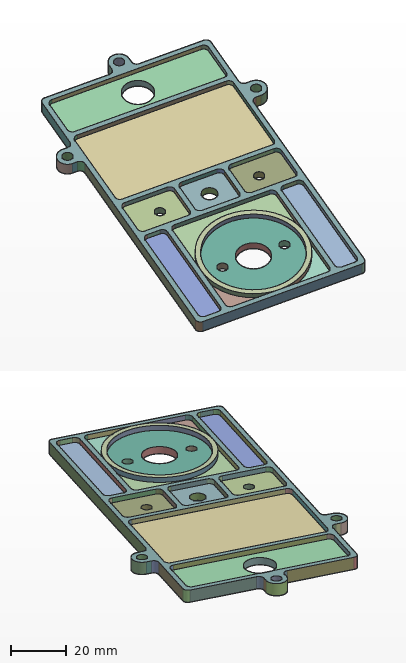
import cadquery as cq

plate_length = 126.0
plate_width = 68.0
plate_thickness = 5.0
corner_radius = 2.0

wall = 2.0
pocket_depth = 2.0
pocket_corner_radius = 2.0
left_pocket_length = 18.0
large_pocket_length = 36.0
small_pocket_length = 16.0
center_pocket_width = 18.0
ring_pocket_width = 42.0

ring_outer_diameter = 42.0
ring_inner_diameter = 38.0

left_hole_diameter = 12.0
ring_hole_diameter = 13.0
center_hole_diameter = 6.0
screw_hole_diameter = 4.0
pocket_screw_offset = 20.0
ring_screw_offset = 12.5

ear_radius = 4.0
ear_hole_diameter = 4.0
ear_reach = 4.0
ear_fillet_radius = 2.0
side_ear_x = 30.0

half_width = plate_width / 2
inner_half_width = half_width - wall
floor_z = plate_thickness - pocket_depth
left_pocket_x = wall
large_pocket_x = left_pocket_x + left_pocket_length + wall
small_pocket_x = large_pocket_x + large_pocket_length + wall
ring_pocket_x = small_pocket_x + small_pocket_length + wall
ring_pocket_end = plate_length - wall
left_hole_x = left_pocket_x + left_pocket_length / 2
small_hole_x = small_pocket_x + small_pocket_length / 2
ring_x = ring_pocket_end - ring_outer_diameter / 2

ears = [
    (-ear_reach, 0, 1, 0),
    (side_ear_x, half_width + ear_reach, 0, -1),
    (side_ear_x, -half_width - ear_reach, 0, 1),
]


def box_between(x_start, x_end, y_start, y_end, z_start, z_end):
    """Box spanning the given limits."""
    size = (x_end - x_start, y_end - y_start, z_end - z_start)
    return cq.Workplane("XY").box(*size, centered=False).translate((x_start, y_start, z_start))


def cylinder(x, y, diameter, z_start=0.0):
    """Upright cylinder from z_start to the top of the plate."""
    height = plate_thickness - z_start
    return cq.Workplane("XY", origin=(x, y, z_start)).circle(diameter / 2).extrude(height)


def make_ear(x, y, inward_x, inward_y):
    """Ear disc with a square neck that runs from its center into the plate."""
    neck_x = x + inward_x * ear_radius
    neck_y = y + inward_y * ear_radius
    neck = box_between(
        neck_x - ear_radius, neck_x + ear_radius,
        neck_y - ear_radius, neck_y + ear_radius,
        0, plate_thickness,
    )
    return neck.union(cylinder(x, y, 2 * ear_radius))


def make_plate():
    """Rounded plate with its three ears blended into the edges."""
    plate = box_between(0, plate_length, -half_width, half_width, 0, plate_thickness)
    plate = plate.edges("|Z").fillet(corner_radius)
    for ear in ears:
        plate = plate.union(make_ear(*ear))
    left_roots = [(0, side * ear_radius) for side in (-1, 1)]
    side_roots = [
        (side_ear_x + along * ear_radius, across * half_width)
        for along in (-1, 1)
        for across in (-1, 1)
    ]
    for x, y in left_roots + side_roots:
        root_edge = cq.selectors.NearestToPointSelector((x, y, plate_thickness / 2))
        plate = plate.edges("|Z").edges(root_edge).fillet(ear_fillet_radius)
    return plate


def make_pocket(x_start, x_end, y_start, y_end):
    """Volume of a rounded pocket open at the top of the plate."""
    pocket = box_between(x_start, x_end, y_start, y_end, floor_z, plate_thickness)
    return pocket.edges("|Z").fillet(pocket_corner_radius)


def mirrored_pockets(x_start, x_end, inner_y):
    """Pair of pockets between inner_y and the outer wall, on both sides of the long axis."""
    upper = make_pocket(x_start, x_end, inner_y, inner_half_width)
    lower = make_pocket(x_start, x_end, -inner_half_width, -inner_y)
    return [upper, lower]


def make_ring_pocket():
    """Right-hand pocket volume, less the ring that stands in it."""
    half = ring_pocket_width / 2
    pocket = make_pocket(ring_pocket_x, ring_pocket_end, -half, half)
    return pocket.cut(cylinder(ring_x, 0, ring_outer_diameter, floor_z))


def make_pockets():
    """Every volume removed from the top of the plate."""
    large_pocket_end = large_pocket_x + large_pocket_length
    small_pocket_end = small_pocket_x + small_pocket_length
    center_half = center_pocket_width / 2
    full = inner_half_width
    pockets = [
        make_pocket(left_pocket_x, left_pocket_x + left_pocket_length, -full, full),
        make_pocket(large_pocket_x, large_pocket_end, -full, full),
        make_pocket(small_pocket_x, small_pocket_end, -center_half, center_half),
        make_ring_pocket(),
        cylinder(ring_x, 0, ring_inner_diameter, floor_z),
    ]
    pockets += mirrored_pockets(small_pocket_x, small_pocket_end, center_half + wall)
    pockets += mirrored_pockets(ring_pocket_x, ring_pocket_end, ring_pocket_width / 2 + wall)
    return pockets


def make_holes():
    """Every hole through the plate and its ears."""
    holes = [
        cylinder(left_hole_x, 0, left_hole_diameter),
        cylinder(small_hole_x, 0, center_hole_diameter),
        cylinder(ring_x, 0, ring_hole_diameter),
    ]
    for side in (-1, 1):
        holes.append(cylinder(small_hole_x, side * pocket_screw_offset, screw_hole_diameter))
        holes.append(cylinder(ring_x, side * ring_screw_offset, screw_hole_diameter))
    for x, y, _, _ in ears:
        holes.append(cylinder(x, y, ear_hole_diameter))
    return holes


result = make_plate()
for cutter in make_pockets() + make_holes():
    result = result.cut(cutter)